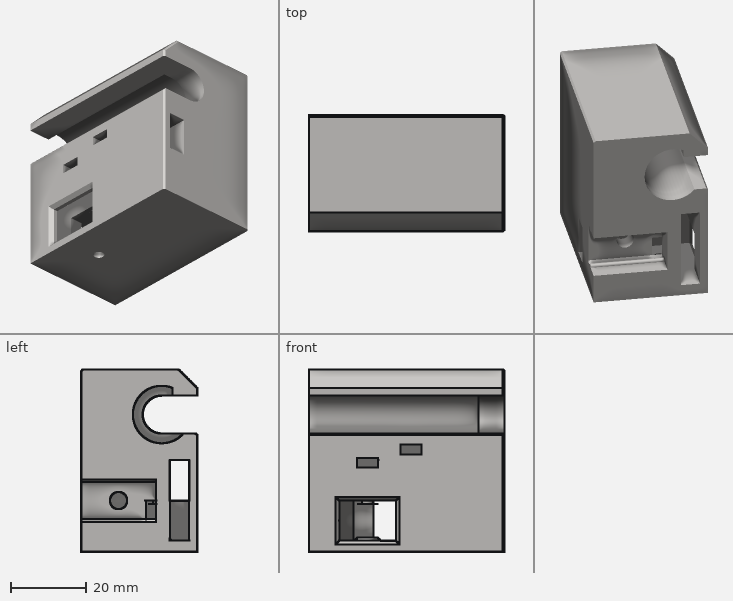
import cadquery as cq

length = 52.0
depth = 30.9
height = 48.5
nose_chamfer = 5.0
edge_chamfer = 0.5

channel_width = 10.0
channel_axis_y = 9.5
channel_axis_z = 36.5
bore_diameter = 15.3
bore_length = 45.0
lip_depth = 6.6

slot_front_y = 2.2
slot_back_y = 7.3
slot_top_z = 24.4

cavity_x0 = 8.1
cavity_x1 = 23.1
cavity_floor_z = 3.0
cavity_top_z = 13.6
cavity_back_y = 17.5
cavity_corner = 3.8
exit_x0 = 17.2
window_bevel = 1.0

seat_x = (cavity_x0 + cavity_x1) / 2
seat_y = 10.3
seat_height = 0.9
seat_top_diameter = 5.2
seat_base_diameter = seat_top_diameter + 2 * seat_height
pin_diameter = 3.0
disc_thickness = 0.1

notch_length = cavity_x0
notch_front_y = 11.0
notch_floor_z = 8.0
notch_top_z = 19.3
notch_corner_chamfer = 0.4
bead_radius = 0.75
bead_x = 5.4
blind_hole_diameter = 4.6
blind_hole_depth = 5.0

pocket_corners = [(24.3, 25.9), (12.8, 22.4)]
pocket_width = 5.6
pocket_height = 2.6


def box(x0, x1, y0, y1, z0, z1):
    """Axis-aligned box between two corners."""
    return cq.Workplane("XY").box(x1 - x0, y1 - y0, z1 - z0, centered=False).translate((x0, y0, z0))


def make_block():
    block = box(0, length, 0, depth, 0, height)
    block = block.edges(">Z and <Y").chamfer(nose_chamfer)
    block = block.edges(">Z and >Y").chamfer(edge_chamfer)
    return block.faces(">X").edges("not <Z").chamfer(edge_chamfer)


def make_rod_channel():
    radius = channel_width / 2
    bottom_z = channel_axis_z - radius
    top_z = channel_axis_z + radius
    channel = (
        cq.Workplane("YZ")
        .moveTo(0, bottom_z - edge_chamfer)
        .lineTo(edge_chamfer, bottom_z)
        .lineTo(channel_axis_y, bottom_z)
        .threePointArc((channel_axis_y + radius, channel_axis_z), (channel_axis_y, top_z))
        .lineTo(0, top_z)
        .close()
        .extrude(length)
    )
    bore = (
        cq.Workplane("YZ")
        .center(channel_axis_y, channel_axis_z)
        .circle(bore_diameter / 2)
        .extrude(bore_length)
    )
    lip = box(0, bore_length, 0, lip_depth, top_z, height)
    return channel.union(bore.cut(lip))


def make_slot():
    upper = box(0, length, slot_front_y, slot_back_y, cavity_top_z, slot_top_z)
    lower = box(0, cavity_x1, slot_front_y, slot_back_y, cavity_floor_z, cavity_top_z)
    return upper.union(lower)


def make_cavity():
    cavity_height = cavity_top_z - cavity_floor_z
    room = (
        cq.Workplane("XY", origin=(0, 0, cavity_floor_z))
        .moveTo(cavity_x0, 0)
        .lineTo(cavity_x0, cavity_back_y - cavity_corner)
        .lineTo(cavity_x0 + cavity_corner, cavity_back_y)
        .lineTo(exit_x0, cavity_back_y)
        .lineTo(exit_x0, depth)
        .lineTo(cavity_x1, depth)
        .lineTo(cavity_x1, 0)
        .close()
        .extrude(cavity_height)
    )
    inner_width = cavity_x1 - cavity_x0
    middle_z = (cavity_floor_z + cavity_top_z) / 2
    bevel = (
        cq.Workplane("XZ", origin=(seat_x, 0, middle_z))
        .rect(inner_width + 2 * window_bevel, cavity_height + 2 * window_bevel)
        .workplane(offset=-window_bevel)
        .rect(inner_width, cavity_height)
        .loft(ruled=True)
    )
    return room.union(bevel)


def make_floor_seat():
    return (
        cq.Workplane("XY", origin=(seat_x, seat_y, cavity_floor_z))
        .circle(seat_base_diameter / 2)
        .workplane(offset=seat_height)
        .circle(seat_top_diameter / 2)
        .loft()
    )


def make_pin_hole():
    """Pin hole through the floor seat and the floor under it."""
    return (
        cq.Workplane("XY", origin=(seat_x, seat_y, 0))
        .circle(pin_diameter / 2)
        .extrude(cavity_floor_z + seat_height)
    )


def make_ceiling_seat():
    """Short pin hanging from the ceiling, ending in a thin disc."""
    bottom = cq.Workplane("XY", origin=(seat_x, seat_y, cavity_top_z - seat_height))
    disc = bottom.circle(seat_top_diameter / 2).extrude(disc_thickness)
    pin = bottom.circle(pin_diameter / 2).extrude(seat_height)
    return disc.union(pin)


def make_notch():
    notch = box(0, notch_length, notch_front_y, depth, notch_floor_z, notch_top_z)
    notch = notch.faces(">X").edges("|Y").chamfer(notch_corner_chamfer)
    for z in (notch_floor_z, notch_top_z):
        bead = (
            cq.Workplane("XZ", origin=(bead_x, depth, z))
            .circle(bead_radius)
            .extrude(depth - notch_front_y)
        )
        notch = notch.cut(bead)
    return notch


def make_blind_hole():
    """Blind hole along X, centred in the end wall of the notch."""
    middle_y = (notch_front_y + depth) / 2
    middle_z = (notch_floor_z + notch_top_z) / 2
    return (
        cq.Workplane("YZ", origin=(notch_length, middle_y, middle_z))
        .circle(blind_hole_diameter / 2)
        .extrude(blind_hole_depth)
    )


result = make_block()
result = result.cut(make_rod_channel()).cut(make_slot()).cut(make_cavity())
result = result.cut(make_notch()).cut(make_blind_hole())
for x, z in pocket_corners:
    result = result.cut(box(x, x + pocket_width, 0, slot_back_y, z, z + pocket_height))
result = result.union(make_floor_seat()).cut(make_pin_hole()).union(make_ceiling_seat())